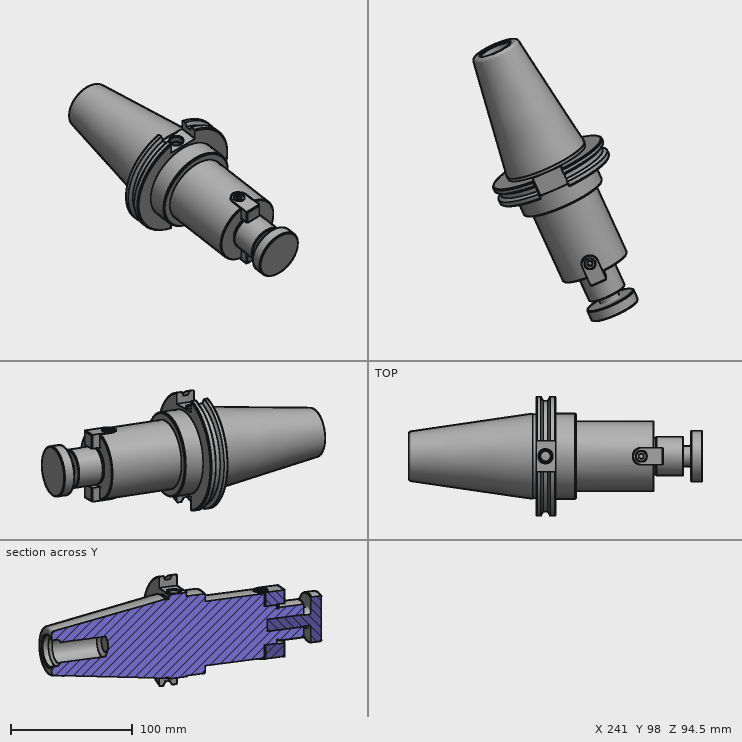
import cadquery as cq
import math

TAPER_END = 101.2
LAND_END = 102.0
FLANGE_START = 104.5
FLANGE_END = 120.7
COLLAR_END = 137.3
SHANK_END = 201.2
RELIEF_END = 202.6
SPIGOT_END = 225.3
HEAD_START = 231.3
TOTAL_LENGTH = 241.0

NOSE_DIA = 40.5
TAPER_RATE = 7 / 24
TAPER_DIA = NOSE_DIA + TAPER_END * TAPER_RATE
NECK_DIA = 69.2
FLANGE_DIA = 98.0
COLLAR_DIA = 70.4
SHANK_DIA = 57.5
SPIGOT_DIA = 32.0
RELIEF_DIA = 30.4
NOSE_ROUND = 3.0
EDGE_CHAMFER = 1.0
SMALL_CHAMFER = 0.7

GROOVE_X = 112.3
GROOVE_DEPTH = 3.4
GROOVE_FLOOR_WIDTH = 3.9
GROOVE_WALL_ANGLE = 30.0
GROOVE_TOP_WIDTH = GROOVE_FLOOR_WIDTH + 2 * GROOVE_DEPTH * math.tan(math.radians(GROOVE_WALL_ANGLE))

SLOT_WIDTH = 25.8
UPPER_SLOT_FLOOR = 37.5
LOWER_SLOT_FLOOR = 35.2

SLOT_HOLE_MOUTH_DIA = 12.0
SLOT_HOLE_DIA = 10.0
SLOT_HOLE_DEPTH = 5.5
SLOT_HOLE_TIP_DIA = 8.5
SLOT_HOLE_END_RADIUS = 28.5

BORE_MOUTH_DIA = 28.5
BORE_PILOT_DIA = 26.3
BORE_PILOT_END = 6.0
BORE_START = 8.5
BORE_DIA = 22.0
BORE_DEPTH = 48.2
BORE_END_DIA = 13.7
DRILL_POINT_ANGLE = 118.0

KEY_WIDTH = 14.0
KEY_START = 184.3
KEY_END = 208.7
KEY_TOP = SHANK_DIA / 2
KEY_BOTTOM = 16.9
KEY_SLOT_CLEARANCE = 0.7

KEY_SCREW_X = 190.8
KEY_BORE_DIA = 9.5
KEY_SCREW_HEAD_RECESS = 0.5
KEY_SCREW_HEAD_HEIGHT = 4.8
KEY_SCREW_HEAD_DIA = 8.5
KEY_SCREW_HEAD_TOP = KEY_TOP - KEY_SCREW_HEAD_RECESS
KEY_BORE_FLOOR = KEY_SCREW_HEAD_TOP - KEY_SCREW_HEAD_HEIGHT
KEY_SCREW_SHANK_DIA = 5.0
KEY_SCREW_TIP = 10.8
SOCKET_FLATS = 4.0
SOCKET_DEPTH = 2.5

SCREW_SHANK_DIA = 17.0
SCREW_HEAD_DIA = 42.0
SCREW_START = 192.8
SCREW_HEAD_FILLET = 1.0


def x_cylinder(dia, start, end):
    return cq.Workplane("YZ", origin=(start, 0, 0)).circle(dia / 2).extrude(end - start)


def z_cylinder(dia, x, bottom, top):
    return cq.Workplane("XY", origin=(x, 0, bottom)).circle(dia / 2).extrude(top - bottom)


def revolve_profile(points):
    return cq.Workplane("XY").polyline(points).close().revolve(360, (0, 0, 0), (1, 0, 0))


def make_blank():
    taper = revolve_profile([
        (0, 0),
        (0, NOSE_DIA / 2),
        (TAPER_END, TAPER_DIA / 2),
        (TAPER_END, 0),
    ]).faces("<X").edges().fillet(NOSE_ROUND)
    land = x_cylinder(TAPER_DIA, TAPER_END, LAND_END)
    neck = x_cylinder(NECK_DIA, LAND_END, FLANGE_START)
    flange = x_cylinder(FLANGE_DIA, FLANGE_START, FLANGE_END).edges().chamfer(EDGE_CHAMFER)
    collar = x_cylinder(COLLAR_DIA, FLANGE_END, COLLAR_END).faces(">X").edges().chamfer(EDGE_CHAMFER)
    shank = x_cylinder(SHANK_DIA, COLLAR_END, SHANK_END).faces(">X").edges().chamfer(SMALL_CHAMFER)
    relief = x_cylinder(RELIEF_DIA, SHANK_END, RELIEF_END)
    spigot = x_cylinder(SPIGOT_DIA, RELIEF_END, SPIGOT_END).edges().chamfer(SMALL_CHAMFER)
    blank = taper
    for section in (land, neck, flange, collar, shank, relief, spigot):
        blank = blank.union(section)
    return blank


def groove_cut():
    floor_radius = FLANGE_DIA / 2 - GROOVE_DEPTH
    ring = [
        (GROOVE_X - GROOVE_FLOOR_WIDTH / 2, floor_radius),
        (GROOVE_X + GROOVE_FLOOR_WIDTH / 2, floor_radius),
        (GROOVE_X + GROOVE_TOP_WIDTH / 2, FLANGE_DIA / 2),
        (GROOVE_X - GROOVE_TOP_WIDTH / 2, FLANGE_DIA / 2),
    ]
    return revolve_profile(ring)


def drive_slot_cut(floor):
    slot = cq.Workplane("XY", origin=((FLANGE_START + FLANGE_END) / 2, 0, floor))
    return slot.rect(FLANGE_END - FLANGE_START, SLOT_WIDTH).extrude(FLANGE_DIA / 2)


def slot_hole_cut():
    hole_floor = UPPER_SLOT_FLOOR - SLOT_HOLE_DEPTH
    mouth_depth = (SLOT_HOLE_MOUTH_DIA - SLOT_HOLE_DIA) / 2
    mouth = cq.Workplane(
        cq.Solid.makeCone(
            SLOT_HOLE_DIA / 2,
            SLOT_HOLE_MOUTH_DIA / 2,
            mouth_depth,
            pnt=cq.Vector(GROOVE_X, 0, UPPER_SLOT_FLOOR - mouth_depth),
        )
    )
    hole = z_cylinder(SLOT_HOLE_DIA, GROOVE_X, hole_floor, UPPER_SLOT_FLOOR)
    tip = z_cylinder(SLOT_HOLE_TIP_DIA, GROOVE_X, 0, hole_floor)
    core = x_cylinder(2 * SLOT_HOLE_END_RADIUS, FLANGE_START, FLANGE_END)
    return mouth.union(hole).union(tip.cut(core))


def nose_bore_cut():
    mouth_depth = (BORE_MOUTH_DIA - BORE_PILOT_DIA) / 2
    point_depth = (BORE_DIA - BORE_END_DIA) / 2 / math.tan(math.radians(DRILL_POINT_ANGLE / 2))
    return revolve_profile([
        (0, 0),
        (0, BORE_MOUTH_DIA / 2),
        (mouth_depth, BORE_PILOT_DIA / 2),
        (BORE_PILOT_END, BORE_PILOT_DIA / 2),
        (BORE_START, BORE_DIA / 2),
        (BORE_DEPTH, BORE_DIA / 2),
        (BORE_DEPTH + point_depth, BORE_END_DIA / 2),
        (BORE_DEPTH + point_depth, 0),
    ])


def key_blank(start):
    """Bar with a full-round end towards the taper."""
    round_x = start + KEY_WIDTH / 2
    outline = (
        cq.Workplane("XY", origin=(0, 0, KEY_BOTTOM))
        .moveTo(round_x, KEY_WIDTH / 2)
        .lineTo(KEY_END, KEY_WIDTH / 2)
        .lineTo(KEY_END, -KEY_WIDTH / 2)
        .lineTo(round_x, -KEY_WIDTH / 2)
        .threePointArc((start, 0), (round_x, KEY_WIDTH / 2))
        .close()
    )
    return outline.extrude(KEY_TOP - KEY_BOTTOM)


def key_screw_shank():
    return z_cylinder(KEY_SCREW_SHANK_DIA, KEY_SCREW_X, KEY_SCREW_TIP, KEY_BORE_FLOOR)


def make_key():
    key = key_blank(KEY_START).faces(">X").edges("|Z or >Z").chamfer(SMALL_CHAMFER)
    screw_bore = z_cylinder(KEY_BORE_DIA, KEY_SCREW_X, KEY_BORE_FLOOR, KEY_TOP)
    return key.cut(screw_bore).cut(key_screw_shank())


def make_key_screw():
    head = z_cylinder(KEY_SCREW_HEAD_DIA, KEY_SCREW_X, KEY_BORE_FLOOR, KEY_SCREW_HEAD_TOP)
    socket = (
        cq.Workplane("XY", origin=(KEY_SCREW_X, 0, KEY_SCREW_HEAD_TOP))
        .polygon(6, SOCKET_FLATS, circumscribed=True)
        .extrude(-SOCKET_DEPTH)
    )
    return head.union(key_screw_shank()).cut(socket)


def make_retaining_screw():
    shank = x_cylinder(SCREW_SHANK_DIA, SCREW_START, HEAD_START)
    head = x_cylinder(SCREW_HEAD_DIA, HEAD_START, TOTAL_LENGTH).edges().chamfer(SMALL_CHAMFER)
    corner = cq.selectors.RadiusNthSelector(0)
    return shank.union(head).faces(">X[-2]").edges(corner).fillet(SCREW_HEAD_FILLET)


def both_sides(body):
    return [body.rotate((0, 0, 0), (1, 0, 0), angle) for angle in (0, 180)]


def make_holder():
    holder = make_blank().cut(groove_cut())
    holder = holder.cut(drive_slot_cut(UPPER_SLOT_FLOOR))
    holder = holder.cut(drive_slot_cut(LOWER_SLOT_FLOOR).rotate((0, 0, 0), (1, 0, 0), 180))
    holder = holder.cut(slot_hole_cut()).cut(nose_bore_cut())
    for pocket in both_sides(key_blank(KEY_START - KEY_SLOT_CLEARANCE).union(key_screw_shank())):
        holder = holder.cut(pocket)
    return holder.cut(x_cylinder(SCREW_SHANK_DIA, SCREW_START, SPIGOT_END))


holder = make_holder()
keys = both_sides(make_key())
key_screws = both_sides(make_key_screw())
retaining_screw = make_retaining_screw()

result = cq.Compound.makeCompound([
    holder.val(),
    *[key.val() for key in keys],
    *[screw.val() for screw in key_screws],
    retaining_screw.val(),
])